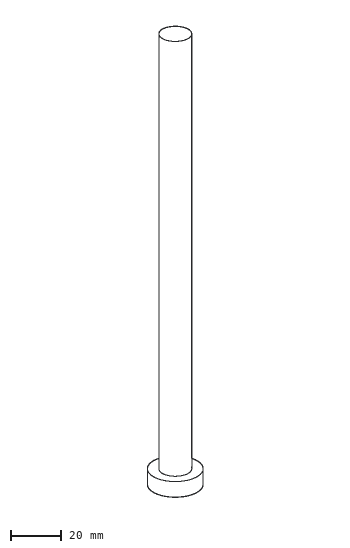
import cadquery as cq

total_length = 200.0
head_diameter = 22.0
head_thickness = 7.0
shaft_diameter = 13.0

head = cq.Workplane("XY").circle(head_diameter / 2).extrude(head_thickness)

shaft_length = total_length - head_thickness
result = head.faces(">Z").workplane().circle(shaft_diameter / 2).extrude(shaft_length)